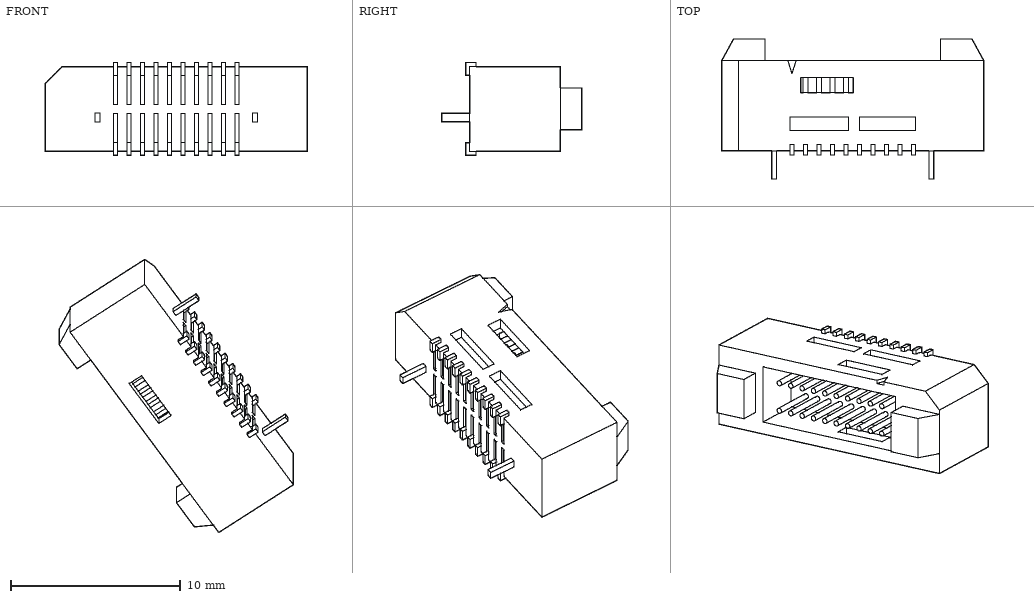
import cadquery as cq


LENGTH = 15.5
DEPTH = 5.36
HEIGHT = 5.0
CORNER_CHAMFER = 0.99

PEG_LENGTH = 1.27
PEG_WIDTH = 2.57
PEG_TAPER = 0.7
PEG_HEIGHT = 2.48

CONTACT_COUNT = 10
CONTACT_SPAN = 7.19
CONTACT_WIDTH = 0.25
CONTACT_THICKNESS = 0.25
FOOT_LENGTH = 0.39
LEG_LENGTH = 0.51
GROOVE_LENGTH = 2.25
GROOVE_DEPTH = 0.12
contact_pitch = CONTACT_SPAN / (CONTACT_COUNT - 1)
first_contact_x = -CONTACT_SPAN / 2
contact_positions = [first_contact_x + i * contact_pitch for i in range(CONTACT_COUNT)]

SLOT_WIDTH = 9.3
ROOF_THICKNESS = 0.76
SLOT_DEPTH = 3.1
BEAM_DIAMETER = 0.31
BEAM_HEIGHT = 0.87
BEAM_LENGTH = 2.95
slot_height = HEIGHT - 2 * ROOF_THICKNESS
slot_rear_y = DEPTH - SLOT_DEPTH

WINDOW_LEFT = -3.07
WINDOW_WIDTH = 3.08
WINDOW_SIZE_Y = 0.88
WINDOW_SETBACK = 1.02

POCKET_OUTER_X = 3.72
LEFT_POCKET_WIDTH = 3.45
RIGHT_POCKET_WIDTH = 3.32
POCKET_SIZE_Y = 0.79
POCKET_REAR_Y = 1.21
POCKET_DEPTH = 0.75

MARK_WIDTH = 0.5
MARK_LENGTH = 0.79
MARK_DEPTH = 0.2

PIN_SPACING = 9.3
PIN_WIDTH = 0.3
PIN_HEIGHT = 0.51
PIN_LENGTH = 1.66
PIN_TOP_Z = -0.25


def box(x, y, z, size_x, size_y, size_z):
    """Box given by its lowest corner and its sizes."""
    return cq.Workplane("XY").box(size_x, size_y, size_z, centered=False).translate((x, y, z))


def make_block():
    """Plain block with one long chamfer at its upper left corner."""
    block = box(-LENGTH / 2, 0, -HEIGHT / 2, LENGTH, DEPTH, HEIGHT)
    return block.edges("|Y and <X and >Z").chamfer(CORNER_CHAMFER)


def make_guide_peg():
    """Left guide peg: a plate whose outer side tapers inwards."""
    outer_x = -LENGTH / 2
    inner_x = outer_x + PEG_WIDTH
    outline = [
        (outer_x, DEPTH),
        (inner_x, DEPTH),
        (inner_x, DEPTH + PEG_LENGTH),
        (outer_x + PEG_TAPER, DEPTH + PEG_LENGTH),
    ]
    return cq.Workplane("XY").polyline(outline).close().extrude(PEG_HEIGHT / 2, both=True)


def make_slot():
    """Cutter for the mating slot, open at the mating face."""
    return box(-SLOT_WIDTH / 2, slot_rear_y, -slot_height / 2, SLOT_WIDTH, SLOT_DEPTH, slot_height)


def make_window():
    """Cutter for the inspection window through the whole height."""
    window_y = DEPTH - WINDOW_SETBACK - WINDOW_SIZE_Y
    return box(WINDOW_LEFT, window_y, -HEIGHT / 2, WINDOW_WIDTH, WINDOW_SIZE_Y, HEIGHT)


def make_pocket(left_x, width):
    """Cutter for a blind pocket in the top face."""
    return box(left_x, POCKET_REAR_Y, HEIGHT / 2 - POCKET_DEPTH, width, POCKET_SIZE_Y, POCKET_DEPTH)


def make_mark():
    """Cutter for the V-shaped mark at the front of the top face."""
    outline = [
        (first_contact_x - MARK_WIDTH / 2, DEPTH),
        (first_contact_x + MARK_WIDTH / 2, DEPTH),
        (first_contact_x, DEPTH - MARK_LENGTH),
    ]
    return cq.Workplane("XY", origin=(0, 0, HEIGHT / 2)).polyline(outline).close().extrude(-MARK_DEPTH)


def make_groove(x):
    """Cutter for an upper contact groove, between the contact leg and the groove end."""
    length = GROOVE_LENGTH - LEG_LENGTH
    return box(x - CONTACT_WIDTH / 2, 0, HEIGHT / 2 - GROOVE_LENGTH, CONTACT_WIDTH, GROOVE_DEPTH, length)


def make_hook(x):
    """Upper contact hook: a foot on the top face and a leg down the rear face."""
    top_z = HEIGHT / 2
    outline = [
        (0, top_z),
        (FOOT_LENGTH, top_z),
        (FOOT_LENGTH, top_z + CONTACT_THICKNESS),
        (-CONTACT_THICKNESS, top_z + CONTACT_THICKNESS),
        (-CONTACT_THICKNESS, top_z - LEG_LENGTH),
        (0, top_z - LEG_LENGTH),
    ]
    plane = cq.Workplane("YZ", origin=(x, 0, 0))
    return plane.polyline(outline).close().extrude(CONTACT_WIDTH / 2, both=True)


def make_beam(x):
    """Upper round contact beam, standing on the rear wall of the slot."""
    plane = cq.Workplane("XZ", origin=(x, slot_rear_y, BEAM_HEIGHT))
    return plane.circle(BEAM_DIAMETER / 2).extrude(-BEAM_LENGTH)


def make_housing():
    """Housing with its pegs, openings and both contact rows, as one solid."""
    housing = make_block()

    left_peg = make_guide_peg()
    housing = housing.union(left_peg).union(left_peg.mirror("YZ"))

    housing = housing.cut(make_slot()).cut(make_window()).cut(make_mark())
    housing = housing.cut(make_pocket(-POCKET_OUTER_X, LEFT_POCKET_WIDTH))
    housing = housing.cut(make_pocket(POCKET_OUTER_X - RIGHT_POCKET_WIDTH, RIGHT_POCKET_WIDTH))

    for x in contact_positions:
        groove = make_groove(x)
        housing = housing.cut(groove).cut(groove.mirror("XY"))
        for contact_part in (make_hook(x), make_beam(x)):
            housing = housing.union(contact_part).union(contact_part.mirror("XY"))
    return housing


def make_pin(x):
    """Rectangular pin standing on the rear face, centred on x."""
    return box(x - PIN_WIDTH / 2, -PIN_LENGTH, PIN_TOP_Z - PIN_HEIGHT, PIN_WIDTH, PIN_LENGTH, PIN_HEIGHT)


housing = make_housing()
pins = [make_pin(side * PIN_SPACING / 2) for side in (-1, 1)]

result = cq.Compound.makeCompound([housing.val(), *[pin.val() for pin in pins]])